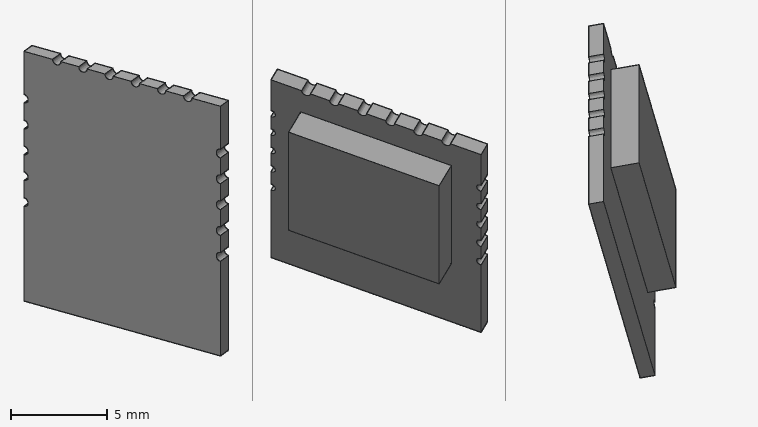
import cadquery as cq

board_width = 12.0
board_height = 14.5
board_thickness = 0.8

shield_width = 8.6
shield_height = 8.0
shield_depth = 1.5
shield_top_margin = 1.75

notch_radius = 0.25
top_notch_count = 6
top_notch_pitch = 1.6
side_notch_count = 5
side_notch_pitch = 1.5
side_notch_top_margin = 2.75

board_top = board_height / 2
board_side = board_width / 2


def make_board():
    """Plain board with its front face at Y = 0."""
    return cq.Workplane("XY").box(
        board_width, board_thickness, board_height, centered=(True, False, True)
    )


def make_shield():
    """Rectangular block standing on the back face of the board."""
    shield_center_z = board_top - shield_top_margin - shield_height / 2
    return (
        cq.Workplane("XY")
        .box(shield_width, shield_depth, shield_height, centered=(True, False, True))
        .translate((0, board_thickness, shield_center_z))
    )


def notch_centers():
    """(x, z) centres of the castellations on the top, left and right edges."""
    first_top_x = -top_notch_pitch * (top_notch_count - 1) / 2
    centers = [(first_top_x + i * top_notch_pitch, board_top) for i in range(top_notch_count)]
    for i in range(side_notch_count):
        z = board_top - side_notch_top_margin - i * side_notch_pitch
        centers.append((-board_side, z))
        centers.append((board_side, z))
    return centers


def make_notch_cutters():
    """Cylinders along Y through the full board thickness."""
    return (
        cq.Workplane("XZ")
        .pushPoints(notch_centers())
        .circle(notch_radius)
        .extrude(-board_thickness)
    )


result = make_board().cut(make_notch_cutters()).union(make_shield())